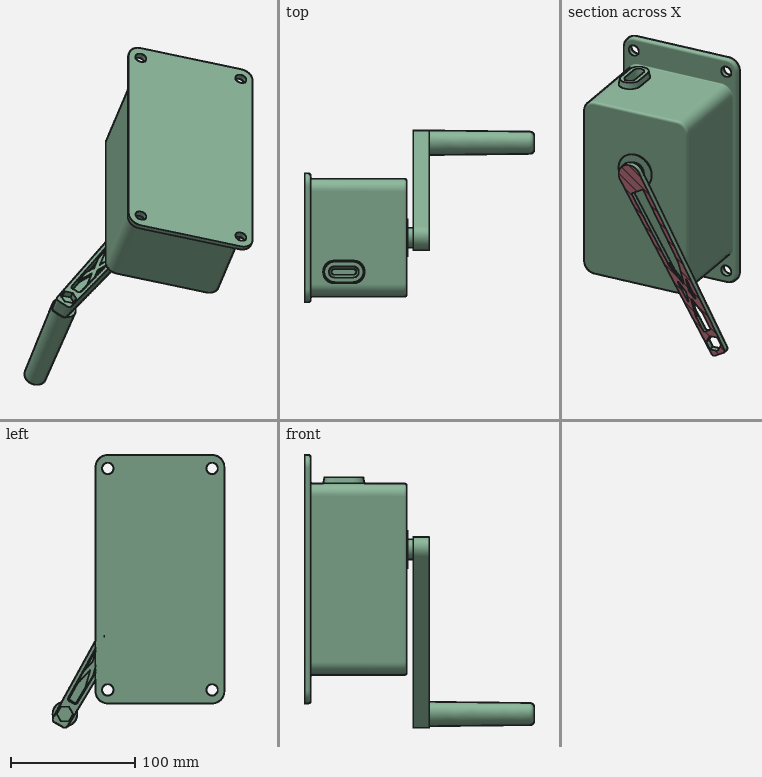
import cadquery as cq
import math

plate_width = 103.9
plate_height = 200.0
plate_thickness = 5.0
corner_radius = 10.0
edge_round = 2.2
hole_diameter = 9.0
hole_spacing_y = 83.9
hole_spacing_z = 178.0

housing_width = 95.0
housing_height = 154.2
housing_front = 82.3
root_round = 0.9

hub_z = 24.0
ring_diameter = 30.0
ring_thickness = 0.7

boss_x = 31.6
boss_y = -27.5
boss_height = 5.0
boss_straight = 15.2
boss_base_width = 18.5
boss_top_width = 16.2
slot_width = 9.0
slot_floor_width = 4.6
slot_depth = 12.5

shaft_diameter = 16.5
arm_back = 87.5
arm_thickness = 13.0
arm_front = arm_back + arm_thickness
arm_length = 152.8
arm_angle = -60
hub_radius = 10.0
arm_tip_half_width = 7.0
arm_overhang = 10.0
arm_corner_radius = 2.9
arm_edge_round = 0.7

arm_pocket_depth = 5.5
arm_pocket_rim = 3.0
arm_pocket_draft = 10
arm_pocket_corner = 2.0
pocket_to_handle = 10.8
brace_to_handle = 47.7
brace_width = 3.3
brace_angle = 14
brace_height = 2.6

hex_flats = 11.5
hex_depth = 5.5
handle_base_diameter = 20.0
handle_end_diameter = 18.0
handle_end_x = 185.0
handle_end_round = 4.0


def rounded_block(width, height, x_start, x_end):
    """Block along X with rounded corners and a rounded front edge."""
    block = cq.Workplane("YZ", origin=(x_start, 0, 0)).rect(width, height).extrude(x_end - x_start)
    return block.edges("|X").fillet(corner_radius).faces(">X").edges().fillet(edge_round)


def tapered_slot(z_top, top_width, bottom_width, depth):
    """Slot-shaped solid below z_top whose width changes evenly over its depth."""
    draft = math.degrees(math.atan((top_width - bottom_width) / 2 / depth))
    return (
        cq.Workplane("XY", origin=(boss_x, boss_y, z_top))
        .slot2D(boss_straight + top_width, top_width)
        .extrude(-depth, taper=draft)
    )


def make_housing():
    plate = rounded_block(plate_width, plate_height, 0, plate_thickness)
    box = rounded_block(housing_width, housing_height, plate_thickness, housing_front)
    body = plate.union(box)
    root_edges = cq.selectors.BoxSelector(
        (0, -housing_width / 2 - root_round, -housing_height / 2 - root_round),
        (plate_thickness + root_round, housing_width / 2 + root_round, housing_height / 2 + root_round),
        boundingbox=True,
    )
    body = body.edges(root_edges).fillet(root_round)

    holes = (
        cq.Workplane("YZ")
        .rarray(hole_spacing_y, hole_spacing_z, 2, 2)
        .circle(hole_diameter / 2)
        .extrude(plate_thickness)
    )
    ring = (
        cq.Workplane("YZ", origin=(housing_front, 0, hub_z))
        .circle(ring_diameter / 2)
        .extrude(ring_thickness)
    )
    boss_top = housing_height / 2 + boss_height
    boss = tapered_slot(boss_top, boss_top_width, boss_base_width, boss_height)
    slot = tapered_slot(boss_top, slot_width, slot_floor_width, slot_depth)
    return body.cut(holes).union(ring).union(boss).cut(slot)


handle_y = arm_length * math.cos(math.radians(arm_angle))
handle_z = hub_z + arm_length * math.sin(math.radians(arm_angle))


side_lean = math.asin((hub_radius - arm_tip_half_width) / arm_length)


def half_width(distance):
    """Half width of the arm at a distance from the shaft axis."""
    return hub_radius / math.cos(side_lean) - distance * math.tan(side_lean)


def make_arm():
    end = arm_length + arm_overhang
    tangent_y = hub_radius * math.sin(side_lean)
    tangent_z = hub_radius * math.cos(side_lean)
    arm = (
        cq.Workplane("YZ", origin=(arm_back, 0, 0))
        .moveTo(tangent_y, tangent_z)
        .threePointArc((-hub_radius, 0), (tangent_y, -tangent_z))
        .lineTo(end, -half_width(end))
        .lineTo(end, half_width(end))
        .close()
        .extrude(arm_thickness)
    )
    arm = arm.edges("|X").edges(">Y").fillet(arm_corner_radius)
    return arm.faces(">X").edges().fillet(arm_edge_round)


def make_arm_pocket():
    """Drafted recess in the back of the arm, less the crossed braces on its floor."""
    start = hub_radius + arm_pocket_rim
    end = arm_length - pocket_to_handle
    start_half = half_width(start) - arm_pocket_rim
    end_half = half_width(end) - arm_pocket_rim
    outline = [(start, -start_half), (end, -end_half), (end, end_half), (start, start_half)]
    sketch = cq.Sketch().polygon(outline + outline[:1]).vertices().fillet(arm_pocket_corner)
    pocket = (
        cq.Workplane("YZ", origin=(arm_back, 0, 0))
        .placeSketch(sketch)
        .extrude(arm_pocket_depth, taper=arm_pocket_draft)
    )
    crossing = (arm_back + arm_pocket_depth - brace_height / 2, arm_length - brace_to_handle, 0)
    brace_length = 2 * hub_radius / math.sin(math.radians(brace_angle))
    for angle in (-brace_angle, brace_angle):
        brace = (
            cq.Workplane("XY")
            .box(brace_height, brace_length, brace_width)
            .rotate((0, 0, 0), (1, 0, 0), angle)
            .translate(crossing)
        )
        pocket = pocket.cut(brace)
    return pocket


def make_handle():
    length = handle_end_x - arm_front
    draft = math.degrees(math.atan((handle_base_diameter - handle_end_diameter) / 2 / length))
    handle = (
        cq.Workplane("YZ", origin=(arm_front, handle_y, handle_z))
        .circle(handle_base_diameter / 2)
        .extrude(length, taper=draft)
    )
    return handle.faces(">X").edges().fillet(handle_end_round)


def make_hex_recess():
    """Hexagon in the back of the arm, centred on the handle axis with two level flats."""
    corner_diameter = hex_flats / math.cos(math.radians(30))
    return (
        cq.Workplane("YZ", origin=(arm_back, handle_y, handle_z))
        .polygon(6, corner_diameter)
        .extrude(hex_depth)
    )


def make_shaft():
    start = housing_front + ring_thickness
    return (
        cq.Workplane("YZ", origin=(start, 0, hub_z))
        .circle(shaft_diameter / 2)
        .extrude(arm_back - start)
    )


def make_crank():
    arm = make_arm().cut(make_arm_pocket())
    arm = arm.rotate((0, 0, 0), (1, 0, 0), arm_angle).translate((0, 0, hub_z))
    return arm.union(make_shaft()).union(make_handle()).cut(make_hex_recess())


housing = make_housing()
crank = make_crank()

result = cq.Compound.makeCompound([housing.solids().val(), crank.solids().val()])